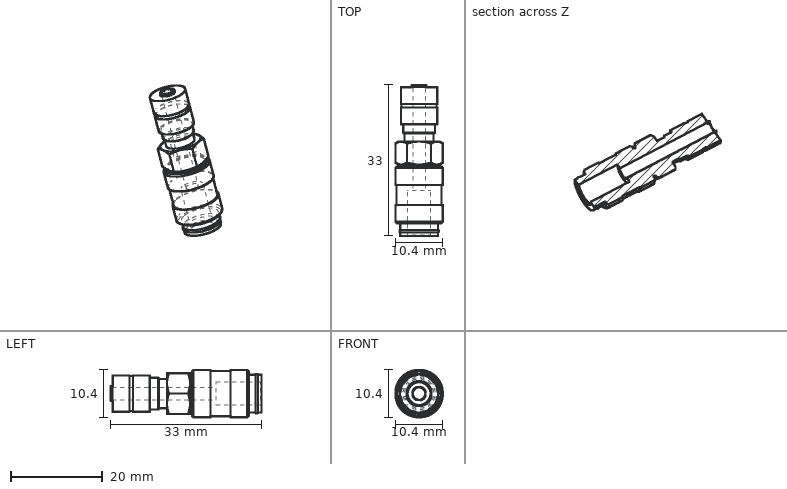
import cadquery as cq
import math


neck_radius = 4.15
ring_center_y = 1.1
ring_section_radius = 0.35
ring_outer_radius = 4.3
ring_center_radius = ring_outer_radius - ring_section_radius

sleeve_radius = 5.2
sleeve_start = 2.8
sleeve_end = 15.25
sleeve_chamfer = 0.4
grip_radius = 4.95
grip_start = 6.8
grip_end = 11.2

nut_across_flats = 9.0
nut_start = 15.65
nut_length = 5.0
nut_end = nut_start + nut_length
nut_corner_radius = nut_across_flats / 2 / math.cos(math.pi / 6)
nut_chamfer_radius = nut_across_flats / 2
nut_chamfer_depth = 0.4

stem_radius = 3.2
stem_end = 22.4
shoulder_radius = 3.5
shoulder_chamfer_length = 0.2

collar_radius = 4.0
collar_start = 24.4
collar_end = 32.55
collar_chamfer = 0.1
groove_radius = 3.85
groove_start = 28.1
groove_end = 28.9

tip_radius = 1.65
tip_chamfer = 0.12
overall_length = 33.0

socket_mouth_radius = 2.75
socket_radius = 2.5
socket_chamfer = socket_mouth_radius - socket_radius
socket_depth = 10.0
passage_radius = 1.37


def revolve_about_y(points):
    """Turn a closed (radius, y) outline a full revolution about the Y axis."""
    return cq.Workplane("XY").polyline(points).close().revolve(360, (0, 0, 0), (0, 1, 0))


def make_turned_body():
    """Solid of revolution that carries every round step of the coupling."""
    sleeve_face_radius = sleeve_radius - sleeve_chamfer
    return revolve_about_y([
        (0, 0),
        (neck_radius, 0),
        (neck_radius, sleeve_start),
        (sleeve_face_radius, sleeve_start),
        (sleeve_radius, sleeve_start + sleeve_chamfer),
        (sleeve_radius, grip_start),
        (grip_radius, grip_start),
        (grip_radius, grip_end),
        (sleeve_radius, grip_end),
        (sleeve_radius, sleeve_end - sleeve_chamfer),
        (sleeve_face_radius, sleeve_end),
        (neck_radius, sleeve_end),
        (neck_radius, nut_start),
        (stem_radius, nut_start),
        (stem_radius, stem_end),
        (shoulder_radius, stem_end + shoulder_chamfer_length),
        (shoulder_radius, collar_start),
        (collar_radius - collar_chamfer, collar_start),
        (collar_radius, collar_start + collar_chamfer),
        (collar_radius, groove_start),
        (groove_radius, groove_start),
        (groove_radius, groove_end),
        (collar_radius, groove_end),
        (collar_radius, collar_end),
        (tip_radius, collar_end),
        (tip_radius, overall_length - tip_chamfer),
        (tip_radius - tip_chamfer, overall_length),
        (0, overall_length),
    ])


def make_snap_ring():
    """Round-section ring seated in the front neck."""
    section = cq.Workplane("XY").center(ring_center_radius, ring_center_y).circle(ring_section_radius)
    return section.revolve(360, (-ring_center_radius, 0, 0), (-ring_center_radius, 1, 0))


def make_nut():
    """Hexagonal prism whose corners are turned off conically at both ends."""
    prism = (
        cq.Workplane("XZ", origin=(0, nut_start, 0))
        .polygon(6, 2 * nut_corner_radius)
        .extrude(-nut_length)
    )
    chamfer_envelope = revolve_about_y([
        (0, nut_start),
        (nut_chamfer_radius, nut_start),
        (nut_corner_radius, nut_start + nut_chamfer_depth),
        (nut_corner_radius, nut_end - nut_chamfer_depth),
        (nut_chamfer_radius, nut_end),
        (0, nut_end),
    ])
    return prism.intersect(chamfer_envelope)


def make_bore():
    """Chamfered socket at the front, stepping down to a through passage."""
    return revolve_about_y([
        (0, 0),
        (socket_mouth_radius, 0),
        (socket_radius, socket_chamfer),
        (socket_radius, socket_depth),
        (passage_radius, socket_depth),
        (passage_radius, overall_length),
        (0, overall_length),
    ])


body = make_turned_body().union(make_snap_ring()).union(make_nut())
result = body.cut(make_bore())